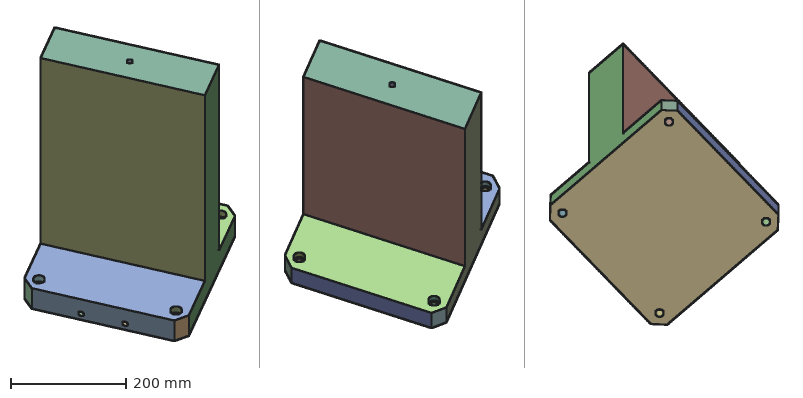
import cadquery as cq
import math

base_side = 300.0
base_height = 50.0
corner_chamfer = 20.0

total_height = 500.0
wall_thickness = 80.0

mount_spacing = 250.0
mount_diameter = 14.0
counterbore_diameter = 20.0
counterbore_depth = 15.0

blind_diameter = 10.0
blind_depth = 25.0
drill_tip_angle = 118.0
edge_hole_spacing = 80.0
edge_hole_height = 15.0


def make_base():
    plate = cq.Workplane("XY").box(base_side, base_side, base_height, centered=(True, True, False))
    return plate.edges("|Z").chamfer(corner_chamfer)


def make_wall():
    return cq.Workplane("XY").box(base_side, wall_thickness, total_height, centered=(True, True, False))


def make_mount_holes():
    corners = cq.Workplane("XY").rect(mount_spacing, mount_spacing, forConstruction=True).vertices()
    through = corners.circle(mount_diameter / 2).extrude(base_height)
    counterbores = (
        cq.Workplane("XY", origin=(0, 0, base_height))
        .rect(mount_spacing, mount_spacing, forConstruction=True)
        .vertices()
        .circle(counterbore_diameter / 2)
        .extrude(-counterbore_depth)
    )
    return through.union(counterbores)


def make_drill():
    radius = blind_diameter / 2
    tip_length = radius / math.tan(math.radians(drill_tip_angle / 2))
    return (
        cq.Workplane("XZ")
        .polyline([(0, 0), (radius, 0), (radius, -blind_depth), (0, -blind_depth - tip_length)])
        .close()
        .revolve(360, (0, 0, 0), (0, 1, 0))
    )


def make_edge_holes():
    drill = make_drill().rotate((0, 0, 0), (1, 0, 0), 90)
    left = drill.translate((-edge_hole_spacing / 2, -base_side / 2, edge_hole_height))
    right = drill.translate((edge_hole_spacing / 2, -base_side / 2, edge_hole_height))
    return left.union(right)


def make_top_hole():
    return make_drill().translate((0, 0, total_height))


result = (
    make_base()
    .union(make_wall())
    .cut(make_mount_holes())
    .cut(make_edge_holes())
    .cut(make_top_hole())
)